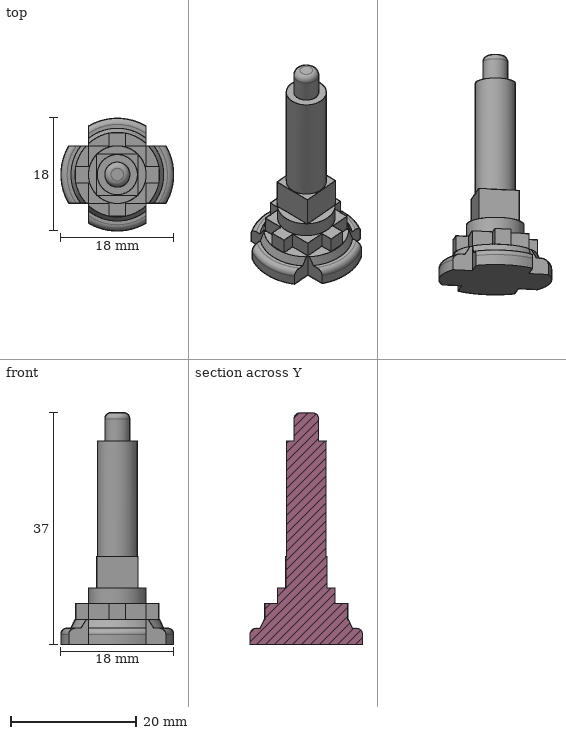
import cadquery as cq

rim_top = 2.65
cone_top = 4.0
cross_top = 6.6
collar_top = 9.05
square_top = 14.05
shaft_top = 32.5
overall_height = 37.0

flange_radius = 9.0
rim_fillet = 1.0
cone_bottom_radius = 7.4
cone_top_radius = 6.75
arm_width = 9.2

tab_width = 2.6
tab_span = 13.25

collar_diameter = arm_width
square_side = 6.6
shaft_diameter = 6.4
pin_diameter = 4.0
pin_fillet = 1.0


def box(size_x, size_y, bottom, top):
    """Box centred on the Z axis between two heights."""
    return cq.Workplane("XY").workplane(offset=bottom).rect(size_x, size_y).extrude(top - bottom)


def cylinder(diameter, bottom, top):
    """Cylinder on the Z axis between two heights."""
    return cq.Workplane("XY").workplane(offset=bottom).circle(diameter / 2).extrude(top - bottom)


def cross(width, span, bottom, top):
    """Two equal bars crossing at the Z axis."""
    return box(span, width, bottom, top).union(box(width, span, bottom, top))


def make_foot():
    """Flange with a rounded rim and a conical shoulder, trimmed to four arms."""
    flange = cylinder(2 * flange_radius, 0, rim_top).faces(">Z").edges().fillet(rim_fillet)
    shoulder = (
        cq.Workplane("XZ")
        .polyline([
            (0, 0),
            (cone_bottom_radius, 0),
            (cone_bottom_radius, rim_top),
            (cone_top_radius, cone_top),
            (0, cone_top),
        ])
        .close()
        .revolve(360, (0, 0, 0), (0, 1, 0))
    )
    arms = cross(arm_width, 2 * flange_radius, 0, cone_top)
    return flange.union(shoulder).intersect(arms)


def make_locating_block():
    """Square block with a narrow tab in the middle of each side."""
    block = box(arm_width, arm_width, cone_top, cross_top)
    return block.union(cross(tab_width, tab_span, cone_top, cross_top))


def make_stem():
    """Collar, square drive, round shaft and round-nosed pin, stacked upward."""
    collar = cylinder(collar_diameter, cross_top, collar_top)
    square = box(square_side, square_side, collar_top, square_top)
    shaft = cylinder(shaft_diameter, square_top, shaft_top)
    pin = cylinder(pin_diameter, shaft_top, overall_height).faces(">Z").edges().fillet(pin_fillet)
    return collar.union(square).union(shaft).union(pin)


result = make_foot().union(make_locating_block()).union(make_stem())